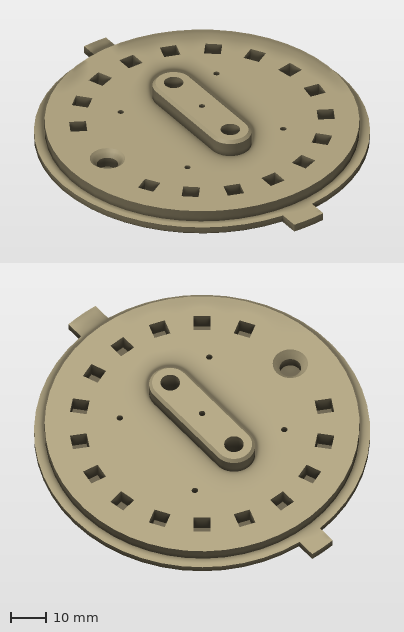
import cadquery as cq
import math

flange_diameter = 94.9
flange_thickness = 2.3
flange_bottom_chamfer = 0.4
disc_diameter = 88.9
disc_top = 5.8

tab_circle_diameter = 106.0
left_tab_width = 7.5
right_tab_width = 10.0

bar_length = 39.9
bar_width = 12.0
bar_top = 10.8
bar_top_chamfer = 0.8
bar_hole_diameter = 5.5
bar_hole_spacing = bar_length - bar_width

floor_height = 0.8

pocket_side = 4.8
pocket_circle_radius = 35.1
pocket_pitch_angle = 20
first_pocket_angle = -60
pocket_count = 16

pin_hole_diameter = 1.8
pin_hole_spacing = 33.0

countersink_diameter = 10.0
countersunk_hole_diameter = 6.0
countersink_depth = (countersink_diameter - countersunk_hole_diameter) / 2
countersunk_hole_y = -32.5


def make_plate():
    flange = cq.Workplane("XY").circle(flange_diameter / 2).extrude(flange_thickness)
    flange = flange.faces("<Z").edges().chamfer(flange_bottom_chamfer)
    disc = cq.Workplane("XY").workplane(offset=flange_thickness)
    disc = disc.circle(disc_diameter / 2).extrude(disc_top - flange_thickness)
    return flange.union(disc)


def make_tab(side, width):
    """Tab on the -X (side = -1) or +X (side = 1) edge, with an arc-shaped outer end."""
    outer_radius = tab_circle_diameter / 2
    inner_x = disc_diameter / 2
    corner_x = math.sqrt(outer_radius**2 - (width / 2) ** 2)
    return (
        cq.Workplane("XY")
        .moveTo(side * inner_x, -width / 2)
        .lineTo(side * corner_x, -width / 2)
        .threePointArc((side * outer_radius, 0), (side * corner_x, width / 2))
        .lineTo(side * inner_x, width / 2)
        .close()
        .extrude(flange_thickness)
    )


def make_bar():
    bar = cq.Workplane("XY").workplane(offset=flange_thickness)
    bar = bar.slot2D(bar_length, bar_width).extrude(bar_top - flange_thickness)
    return bar.faces(">Z").edges().chamfer(bar_top_chamfer)


def make_bar_holes():
    holes = cq.Workplane("XY").rarray(bar_hole_spacing, 1.1, 2, 1)
    return holes.circle(bar_hole_diameter / 2).extrude(bar_top)


def make_pockets():
    last_pocket_angle = first_pocket_angle + pocket_pitch_angle * (pocket_count - 1)
    pockets = cq.Workplane("XY").workplane(offset=floor_height)
    pockets = pockets.polarArray(
        pocket_circle_radius, first_pocket_angle, last_pocket_angle - first_pocket_angle, pocket_count
    )
    return pockets.rect(pocket_side, pocket_side).extrude(disc_top - floor_height)


def make_pin_holes():
    corner = pin_hole_spacing / 2
    centres = [(0, 0)] + [(x, y) for x in (-corner, corner) for y in (-corner, corner)]
    holes = cq.Workplane("XY").workplane(offset=floor_height).pushPoints(centres)
    return holes.circle(pin_hole_diameter / 2).extrude(bar_top - floor_height)


def make_countersunk_hole():
    hole_radius = countersunk_hole_diameter / 2
    profile = (
        cq.Workplane("XZ")
        .moveTo(0, floor_height)
        .lineTo(hole_radius, floor_height)
        .lineTo(hole_radius, disc_top - countersink_depth)
        .lineTo(countersink_diameter / 2, disc_top)
        .lineTo(0, disc_top)
        .close()
    )
    hole = profile.revolve(360, (0, 0, 0), (0, 1, 0))
    return hole.translate((0, countersunk_hole_y, 0))


body = make_plate()
body = body.union(make_tab(-1, left_tab_width))
body = body.union(make_tab(1, right_tab_width))
body = body.union(make_bar())
body = body.cut(make_bar_holes())
body = body.cut(make_pockets())
body = body.cut(make_pin_holes())
result = body.cut(make_countersunk_hole())